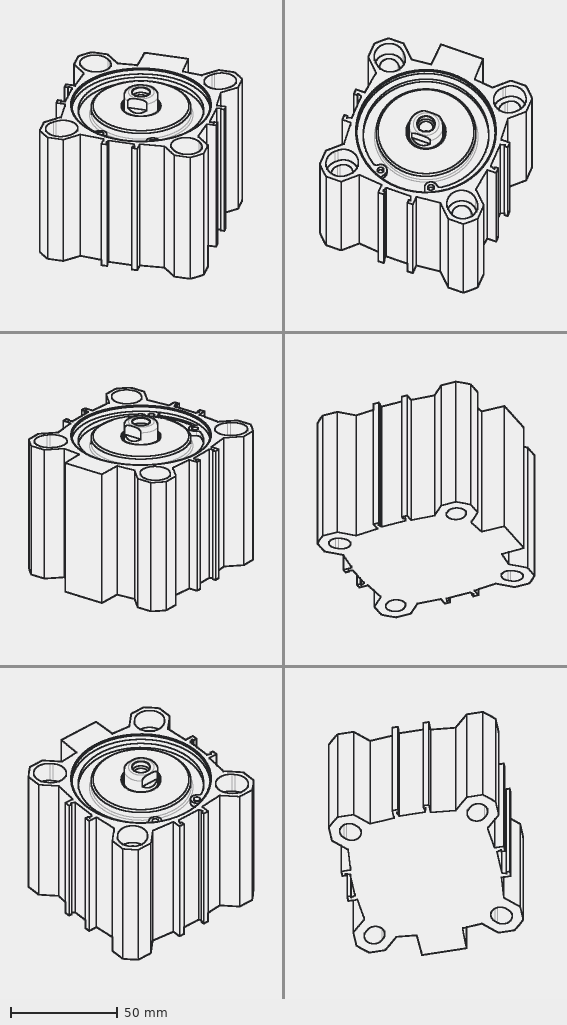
import cadquery as cq
import math


total_height = 74.0
housing_height = 66.9
half_width = 40.0
block_reach = 46.0

lobe_half_diagonal = 12.9
lobe_corner_y = 34.75
lobe_corner_radius = math.hypot(half_width, lobe_corner_y)
waist_inner = 33.4
waist_outer = 34.5

rail_half_width = 8.8
rail_reach = 39.0
rail_lip_start = 37.2
rail_lip_half_gap = 6.0
rail_slot_half_width = 7.0
rail_floor = 35.2
rail_floor_half_width = 6.2

block_base_half_width = 11.0
block_tip_half_width = 10.7

mount_spacing = 60.8
mount_stretch = 1.4
mount_hole_diameter = 8.95
mount_recess_diameter = 14.0
mount_recess_depth = 10.2

bore_diameter = 65.1
bore_chamfer = 0.5
ring_groove_diameter = 68.2
ring_depth = 2.8
ring_thickness = 2.5

cover_thickness = 12.9
boss_diameter = 47.0
boss_below_rim = 0.5
boss_chamfer = 0.95
boss_fillet = 0.9
wiper_diameter = 18.0
wiper_chamfer = 0.4
wiper_depth = 1.0
rod_clearance_diameter = 16.5
rod_clearance_chamfer = 0.35

ring_inner_diameter = 59.1
eye_radial_position = 28.8
eye_angle = 26.2
eye_diameter = 6.0
eye_hole_diameter = 3.0
eye_blend_radius = 1.9

rod_diameter = 16.0
rod_fillet = 2.0
flat_spacing = 13.0
flat_height = 5.5
thread_diameter = 8.25
thread_mouth_chamfer = 0.2
thread_recess_depth = 2.75
pilot_diameter = 6.6
pilot_depth = 12.9
drill_tip_angle = 118.0

ring_top_z = housing_height - ring_depth
cover_face_z = ring_top_z - ring_thickness
bore_floor_z = cover_face_z - cover_thickness
boss_top_z = housing_height - boss_below_rim


def cylinder(diameter, bottom_z, top_z):
    """Solid cylinder on the Z axis between two levels."""
    return cq.Workplane("XY", origin=(0, 0, bottom_z)).circle(diameter / 2).extrude(top_z - bottom_z)


def turned(profile):
    """Solid of revolution about Z from (radius, z) points."""
    return cq.Workplane("XZ").polyline(profile).close().revolve(360, (0, 0, 0), (0, 1, 0))


def rotated(x, y, quarter_turns):
    """Point turned about the origin by whole quarter turns."""
    for _ in range(quarter_turns):
        x, y = -y, x
    return x, y




def housing_core():
    """Square profile with an octagonal mounting lobe at each corner."""
    lobe_side = half_width - lobe_half_diagonal
    waist_side = waist_inner - lobe_half_diagonal
    arc_middle = lobe_corner_radius * math.cos(math.pi / 4)
    outline = cq.Workplane("XY").moveTo(*rotated(rail_half_width, waist_outer, 3))
    for turn in range(4):
        outline = (
            outline.lineTo(*rotated(waist_outer, rail_half_width, turn))
            .lineTo(*rotated(waist_inner, waist_side, turn))
            .lineTo(*rotated(half_width, lobe_side, turn))
            .lineTo(*rotated(half_width, lobe_corner_y, turn))
            .threePointArc(
                rotated(arc_middle, arc_middle, turn),
                rotated(lobe_corner_y, half_width, turn),
            )
            .lineTo(*rotated(lobe_side, half_width, turn))
            .lineTo(*rotated(waist_side, waist_inner, turn))
            .lineTo(*rotated(rail_half_width, waist_outer, turn))
        )
    return outline.close().extrude(housing_height)


def switch_rails():
    """Pair of hooked rails on the -Y side, joined by a thin floor."""
    half_outline = [
        (rail_half_width, waist_inner),
        (rail_half_width, rail_reach),
        (rail_lip_half_gap, rail_reach),
        (rail_lip_half_gap, rail_lip_start),
        (rail_slot_half_width, rail_lip_start),
        (rail_floor_half_width, rail_floor),
    ]
    left = [(-x, -y) for x, y in half_outline]
    right = [(x, -y) for x, y in reversed(half_outline)]
    return cq.Workplane("XY").polyline(left + right).close().extrude(housing_height)


def port_block():
    """Tapered block along the full height of the +Y side."""
    outline = [
        (-block_base_half_width, waist_inner),
        (block_base_half_width, waist_inner),
        (block_tip_half_width, block_reach),
        (-block_tip_half_width, block_reach),
    ]
    return cq.Workplane("XY").polyline(outline).close().extrude(housing_height)


def mounting_hole():
    """Stepped hole in the +X +Y lobe, stretched along the diagonal."""
    recess_floor_z = housing_height - mount_recess_depth
    centre = mount_spacing / 2
    through = (
        cq.Workplane("XY")
        .center(centre, centre)
        .slot2D(mount_hole_diameter + mount_stretch, mount_hole_diameter, 45)
        .extrude(housing_height)
    )
    recess = (
        cq.Workplane("XY", origin=(0, 0, recess_floor_z))
        .center(centre, centre)
        .slot2D(mount_recess_diameter + mount_stretch, mount_recess_diameter, 45)
        .extrude(mount_recess_depth)
    )
    return through.union(recess)


def housing_bore():
    """Chamfered bore with the groove for the retaining ring."""
    bore = cylinder(bore_diameter, bore_floor_z, housing_height)
    groove = cylinder(ring_groove_diameter, cover_face_z, ring_top_z)
    bore_radius = bore_diameter / 2
    mouth = turned(
        [
            (0, housing_height - bore_chamfer),
            (bore_radius, housing_height - bore_chamfer),
            (bore_radius + bore_chamfer, housing_height),
            (0, housing_height),
        ]
    )
    return bore.union(groove).union(mouth)


def make_housing():
    body = housing_core().union(port_block())
    rails = switch_rails()
    for angle in (-90, 0, 90):
        body = body.union(rails.rotate((0, 0, 0), (0, 0, 1), angle))
    hole = mounting_hole()
    for angle in (0, 90, 180, 270):
        body = body.cut(hole.rotate((0, 0, 0), (0, 0, 1), angle))
    return body.cut(housing_bore())




def make_cover():
    """Disc with a raised round boss and a stepped hole for the rod."""
    boss_radius = boss_diameter / 2
    wiper_radius = wiper_diameter / 2
    clearance_radius = rod_clearance_diameter / 2
    wiper_floor_z = boss_top_z - wiper_depth
    blend_middle = boss_fillet * (1 - math.sqrt(0.5))
    return (
        cq.Workplane("XZ")
        .moveTo(clearance_radius, bore_floor_z)
        .lineTo(bore_diameter / 2, bore_floor_z)
        .lineTo(bore_diameter / 2, cover_face_z)
        .lineTo(boss_radius + boss_fillet, cover_face_z)
        .threePointArc(
            (boss_radius + blend_middle, cover_face_z + blend_middle),
            (boss_radius, cover_face_z + boss_fillet),
        )
        .lineTo(boss_radius, boss_top_z - boss_chamfer)
        .lineTo(boss_radius - boss_chamfer, boss_top_z)
        .lineTo(wiper_radius + wiper_chamfer, boss_top_z)
        .lineTo(wiper_radius, boss_top_z - wiper_chamfer)
        .lineTo(wiper_radius, wiper_floor_z)
        .lineTo(clearance_radius + rod_clearance_chamfer, wiper_floor_z)
        .lineTo(clearance_radius, wiper_floor_z - rod_clearance_chamfer)
        .close()
        .revolve(360, (0, 0, 0), (0, 1, 0))
    )




def ring_plane():
    """Workplane on the underside of the ring."""
    return cq.Workplane("XY", origin=(0, 0, cover_face_z))


def eye_blend():
    """Concave fillet between the band and the far side of the eye on the -Y axis."""
    blend_distance = ring_inner_diameter / 2 - eye_blend_radius
    eye_to_blend = eye_diameter / 2 + eye_blend_radius
    blend_angle = math.acos(
        (eye_radial_position**2 + blend_distance**2 - eye_to_blend**2)
        / (2 * eye_radial_position * blend_distance)
    )
    band_middle = (ring_groove_diameter + ring_inner_diameter) / 4
    toward_blend = (math.sin(blend_angle), -math.cos(blend_angle))
    blend_centre = (toward_blend[0] * blend_distance, toward_blend[1] * blend_distance)
    corner = (
        ring_plane()
        .polyline(
            [
                (0, -eye_radial_position),
                blend_centre,
                (toward_blend[0] * band_middle, toward_blend[1] * band_middle),
            ]
        )
        .close()
        .extrude(ring_thickness)
    )
    hollow = (
        ring_plane()
        .center(*blend_centre)
        .circle(eye_blend_radius)
        .extrude(ring_thickness)
    )
    return corner.cut(hollow)


def make_ring():
    """Open ring with a plier eye at each end of the gap, which faces -Y."""
    outer_radius = ring_groove_diameter / 2
    eye_radius = eye_diameter / 2
    band = (
        ring_plane()
        .circle(outer_radius)
        .circle(ring_inner_diameter / 2)
        .extrude(ring_thickness)
    )
    gap_half_width = 2 * outer_radius * math.tan(math.radians(eye_angle))
    gap = (
        ring_plane()
        .polyline([(0, 0), (-gap_half_width, -2 * outer_radius), (gap_half_width, -2 * outer_radius)])
        .close()
        .extrude(ring_thickness)
    )
    lug = (
        ring_plane()
        .center(0, -eye_radial_position)
        .circle(eye_radius)
        .extrude(ring_thickness)
    )
    stem = (
        ring_plane()
        .center(0, -(eye_radial_position + outer_radius) / 2)
        .rect(eye_diameter, outer_radius - eye_radial_position)
        .extrude(ring_thickness)
    )
    hole = (
        ring_plane()
        .center(0, -eye_radial_position)
        .circle(eye_hole_diameter / 2)
        .extrude(ring_thickness)
    )
    rim = cylinder(ring_groove_diameter, cover_face_z, ring_top_z)
    right_eye = lug.union(stem).intersect(rim).union(eye_blend()).cut(hole)
    right_eye = right_eye.rotate((0, 0, 0), (0, 0, 1), eye_angle)
    right_hole = hole.rotate((0, 0, 0), (0, 0, 1), eye_angle)
    ring = band.cut(gap).union(right_eye).union(right_eye.mirror("YZ"))
    return ring.cut(right_hole).cut(right_hole.mirror("YZ"))




def wrench_flat():
    """Cutter for the flat on the +Y side, ending in a 45 degree slope."""
    flat_y = flat_spacing / 2
    edge_y = rod_diameter
    flat_bottom_z = total_height - flat_height
    profile = [
        (flat_y, total_height),
        (flat_y, flat_bottom_z),
        (edge_y, flat_bottom_z - (edge_y - flat_y)),
        (edge_y, total_height),
    ]
    return cq.Workplane("YZ").polyline(profile).close().extrude(rod_diameter, both=True)


def threaded_hole():
    """Stepped hole with a chamfered mouth and a drill tip."""
    thread_radius = thread_diameter / 2
    pilot_radius = pilot_diameter / 2
    step_z = total_height - thread_recess_depth
    pilot_end_z = total_height - pilot_depth
    tip_length = pilot_radius / math.tan(math.radians(drill_tip_angle / 2))
    return turned(
        [
            (0, total_height),
            (thread_radius + thread_mouth_chamfer, total_height),
            (thread_radius, total_height - thread_mouth_chamfer),
            (thread_radius, step_z),
            (pilot_radius, step_z - (thread_radius - pilot_radius)),
            (pilot_radius, pilot_end_z),
            (0, pilot_end_z - tip_length),
        ]
    )


def make_rod():
    rod = cylinder(rod_diameter, bore_floor_z, total_height)
    rod = rod.faces(">Z").edges().fillet(rod_fillet)
    flat = wrench_flat()
    for angle in (0, 180):
        rod = rod.cut(flat.rotate((0, 0, 0), (0, 0, 1), angle))
    return rod.cut(threaded_hole())


housing = make_housing()
cover = make_cover()
ring = make_ring()
rod = make_rod()

result = cq.Compound.makeCompound([housing.val(), cover.val(), ring.val(), rod.val()])